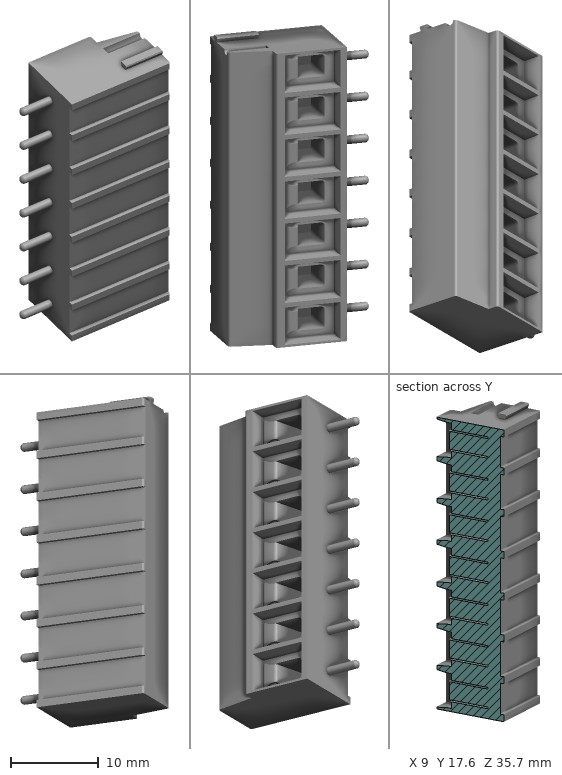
import cadquery as cq
import math


pole_count = 7
row_height = 35.05
pitch = row_height / pole_count
total_height = 35.68

body_width = 9.0
body_depth = 13.5
shoulder_y = 8.5
slope_start_x = 1.32
slope_end_x = 2.2
edge_radius = 0.3

tooth_thickness = 0.5
tooth_height = 0.9

pin_x = body_width / 2
pin_radius = 0.5
pin_length = 4.1
pin_dome = 0.35
pin_root = 0.35

window_y_min = 0.75
window_y_max = 7.42
window_height = 4.45
window_inset = 0.18
drafted_depth = 1.45
window_depth = 1.93

hole_y_min = 2.05
hole_y_max = 5.65
hole_height = 2.6
hole_radius = 0.43
hole_floor_x = 6.78

tongue_top_x = 1.6
tongue_end_y = window_y_max - window_inset
tongue_end_round = 0.43
flare_height = 2.95
flare_end_y = 6.67
neck_height = 2.2
ramp_round_y = 5.2
ramp_foot_x = 6.42
ramp_foot_y = 4.05

rib_x = 6.8
rib_height = total_height - row_height
rib_waist_height = 0.45
rib_base_half = 0.4
rib_waist_half = 0.57
rib_top_half = 0.5
rib_root = 0.35
groove_x = 3.15
groove_radius = 0.55

latch_length = body_depth - shoulder_y


def box(x_range, y_range, z_range):
    """Axis-aligned block given by its limits."""
    corner = (x_range[0], y_range[0], z_range[0])
    length = x_range[1] - x_range[0]
    width = y_range[1] - y_range[0]
    height = z_range[1] - z_range[0]
    return cq.Workplane("XY").box(length, width, height, centered=False).translate(corner)


def housing():
    """Prism with a sloping latch end and rounded outer edges."""
    outline = [
        (0, 0),
        (body_width, 0),
        (body_width, body_depth),
        (slope_end_x, body_depth),
        (slope_start_x, shoulder_y),
        (0, shoulder_y),
    ]
    body = cq.Workplane("XY").polyline(outline).close().extrude(row_height)
    rounded = [(body_width, body_depth), (slope_end_x, body_depth), (0, shoulder_y)]
    for x, y in rounded:
        corner_edge = cq.selectors.NearestToPointSelector((x, y, row_height / 2))
        body = body.edges(corner_edge).fillet(edge_radius)
    return body


def back_notch(pole):
    """Gap between neighbouring spacer teeth; the two end teeth keep their full height."""
    bottom_tooth = tooth_height if pole == 0 else tooth_height / 2
    top_tooth = tooth_height if pole == pole_count - 1 else tooth_height / 2
    bottom = pole * pitch + bottom_tooth
    top = (pole + 1) * pitch - top_tooth
    return box((body_width - tooth_thickness, body_width), (0, body_depth), (bottom, top))


def pin():
    """Round pin with a domed tip, pointing along -Y from the pin face."""
    tip_start = pin_length - pin_dome
    dome_sphere_radius = (pin_radius**2 + pin_dome**2) / (2 * pin_dome)
    mid_radius = pin_radius / 2
    mid_y = pin_length - dome_sphere_radius + math.sqrt(dome_sphere_radius**2 - mid_radius**2)
    return (
        cq.Workplane("XY")
        .moveTo(0, pin_root)
        .lineTo(-pin_radius, pin_root)
        .lineTo(-pin_radius, -tip_start)
        .threePointArc((-mid_radius, -mid_y), (0, -pin_length))
        .close()
        .revolve(360, (0, 0), (0, 1))
        .translate((pin_x, 0, 0))
    )


def window():
    """Pocket with drafted walls that turn straight just above the floor."""
    middle_y = (window_y_min + window_y_max) / 2
    length = window_y_max - window_y_min
    inner_length = length - 2 * window_inset
    inner_height = window_height - 2 * window_inset
    drafted = (
        cq.Workplane("YZ", origin=(0, middle_y, 0))
        .rect(length, window_height)
        .workplane(offset=drafted_depth)
        .rect(inner_length, inner_height)
        .loft()
    )
    straight = (
        cq.Workplane("YZ", origin=(0, middle_y, 0))
        .rect(inner_length, inner_height)
        .extrude(window_depth)
    )
    return drafted.union(straight)


def wire_hole():
    """Rounded blind hole through the window floor."""
    middle_y = (hole_y_min + hole_y_max) / 2
    return (
        cq.Workplane("YZ", origin=(0, middle_y, 0))
        .rect(hole_y_max - hole_y_min, hole_height)
        .extrude(hole_floor_x)
        .edges("|X")
        .fillet(hole_radius)
    )


def tongue():
    """Flared tongue standing on the window floor and ramping down into the wire hole."""
    flare = flare_height / 2
    neck = neck_height / 2
    bend_y = (flare_end_y + hole_y_max) / 2
    bend = neck + (flare - neck) / 4
    plan = (
        cq.Workplane("YZ")
        .moveTo(tongue_end_y, -flare)
        .lineTo(flare_end_y, -flare)
        .threePointArc((bend_y, -bend), (hole_y_max, -neck))
        .lineTo(ramp_foot_y, -neck)
        .lineTo(ramp_foot_y, neck)
        .lineTo(hole_y_max, neck)
        .threePointArc((bend_y, bend), (flare_end_y, flare))
        .lineTo(tongue_end_y, flare)
        .close()
        .extrude(hole_floor_x)
    )
    ramp_round = hole_y_max - ramp_round_y
    side = (
        cq.Workplane("XY", origin=(0, 0, -flare))
        .moveTo(tongue_top_x + tongue_end_round, tongue_end_y)
        .radiusArc((tongue_top_x, tongue_end_y - tongue_end_round), -tongue_end_round)
        .lineTo(tongue_top_x, hole_y_max)
        .radiusArc((tongue_top_x + ramp_round, ramp_round_y), -ramp_round)
        .lineTo(ramp_foot_x, ramp_foot_y)
        .lineTo(hole_floor_x, ramp_foot_y)
        .lineTo(hole_floor_x, tongue_end_y)
        .close()
        .extrude(flare_height)
    )
    return plan.intersect(side)


def coding_rib():
    """Undercut rib on the top face of the latch end."""
    outline = [
        (-rib_base_half, -rib_root),
        (-rib_base_half, 0),
        (-rib_waist_half, rib_waist_height),
        (-rib_top_half, rib_height),
        (rib_top_half, rib_height),
        (rib_waist_half, rib_waist_height),
        (rib_base_half, 0),
        (rib_base_half, -rib_root),
    ]
    return (
        cq.Workplane("XZ", origin=(rib_x, body_depth, row_height))
        .polyline(outline)
        .close()
        .extrude(latch_length)
    )


def coding_groove():
    """Half-round groove in the top face of the latch end."""
    return (
        cq.Workplane("XZ", origin=(groove_x, body_depth, row_height))
        .circle(groove_radius)
        .extrude(latch_length)
    )


entry = window().union(wire_hole()).cut(tongue())
solder_pin = pin()

result = housing().cut(coding_groove()).union(coding_rib())
for pole in range(pole_count):
    pole_centre = (0, 0, (pole + 0.5) * pitch)
    result = result.cut(back_notch(pole))
    result = result.cut(entry.translate(pole_centre))
    result = result.union(solder_pin.translate(pole_centre))